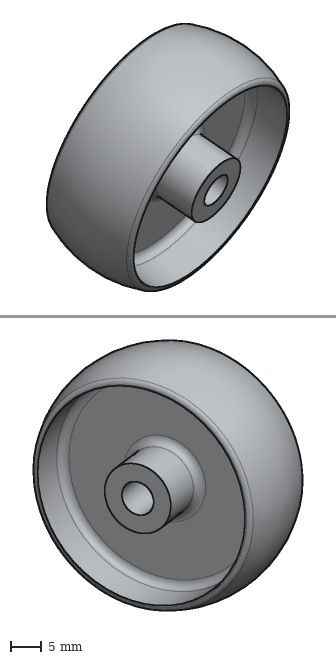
import cadquery as cq
import math

TREAD_RADIUS = 22.5
RIM_WIDTH = 18.5
RIM_EDGE_FILLET = 1.0
RIM_INNER_RADIUS = 19.6
HUB_LENGTH = 21.0
HUB_RADIUS = 6.25
BORE_RADIUS = 3.0
WEB_THICKNESS = 2.5
WEB_FILLET = 1.5


def crowned_disc():
    """Solid disc with a spherical tread and rounded rim edges."""
    half_rim = RIM_WIDTH / 2
    tread_edge_radius = math.sqrt(TREAD_RADIUS**2 - half_rim**2)
    disc = (
        cq.Workplane("XY")
        .moveTo(-half_rim, 0)
        .lineTo(-half_rim, -tread_edge_radius)
        .threePointArc((0, -TREAD_RADIUS), (half_rim, -tread_edge_radius))
        .lineTo(half_rim, 0)
        .close()
        .revolve(360, (0, 0, 0), (1, 0, 0))
    )
    return disc.faces("<X or >X").edges().fillet(RIM_EDGE_FILLET)


def hub():
    """Plain cylinder standing out past both rim faces."""
    return cq.Workplane("YZ").circle(HUB_RADIUS).extrude(HUB_LENGTH / 2, both=True)


def recess():
    """Ring-shaped pocket on the +X side, between hub and rim, with a rounded floor."""
    half_web = WEB_THICKNESS / 2
    ring = (
        cq.Workplane("YZ", origin=(half_web, 0, 0))
        .circle(RIM_INNER_RADIUS)
        .circle(HUB_RADIUS)
        .extrude(HUB_LENGTH / 2 - half_web)
    )
    return ring.faces("<X").edges().fillet(WEB_FILLET)


def bore():
    """Axle hole through the full hub length."""
    return cq.Workplane("YZ").circle(BORE_RADIUS).extrude(HUB_LENGTH / 2, both=True)


side_recess = recess()
wheel = crowned_disc().union(hub())
wheel = wheel.cut(side_recess).cut(side_recess.mirror("YZ"))
result = wheel.cut(bore())